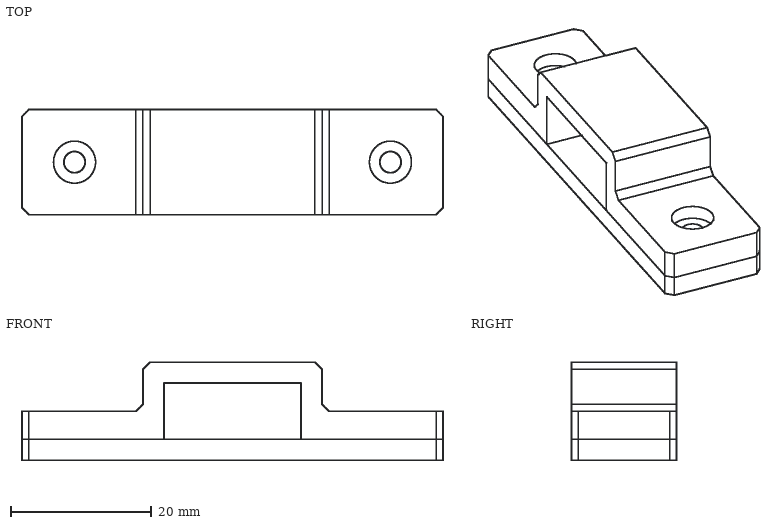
import cadquery as cq

length = 60.0
width = 15.0
corner_chamfer = 1.0

base_thickness = 3.0

flange_thickness = 4.0
channel_width = 19.5
channel_height = 8.0
wall = 3.0
bridge_chamfer = 1.0

hole_spacing = 45.0
hole_diameter = 3.0
counterbore_diameter = 6.0
counterbore_depth = 2.0

flange_top = base_thickness + flange_thickness
bridge_top = base_thickness + channel_height + wall
bridge_width = channel_width + 2 * wall
hole_centers = [(-hole_spacing / 2, 0), (hole_spacing / 2, 0)]


def footprint_block(bottom, height):
    """Rectangular block with its four vertical corner edges chamfered."""
    return (
        cq.Workplane("XY", origin=(0, 0, bottom))
        .rect(length, width)
        .extrude(height)
        .edges("|Z")
        .chamfer(corner_chamfer)
    )


def make_base():
    """Flat plate with a plain through hole near each end."""
    return (
        footprint_block(0, base_thickness)
        .copyWorkplane(cq.Workplane("XY", origin=(0, 0, base_thickness)))
        .pushPoints(hole_centers)
        .hole(hole_diameter)
    )


def make_bracket():
    """Hat-shaped bracket with an open channel and counterbored screw holes."""
    flanges = footprint_block(base_thickness, flange_thickness)

    half_bridge = bridge_width / 2
    half_foot = half_bridge + bridge_chamfer
    half_roof = half_bridge - bridge_chamfer
    bridge = (
        cq.Workplane("XZ")
        .moveTo(-half_foot, base_thickness)
        .lineTo(-half_foot, flange_top)
        .lineTo(-half_bridge, flange_top + bridge_chamfer)
        .lineTo(-half_bridge, bridge_top - bridge_chamfer)
        .lineTo(-half_roof, bridge_top)
        .lineTo(half_roof, bridge_top)
        .lineTo(half_bridge, bridge_top - bridge_chamfer)
        .lineTo(half_bridge, flange_top + bridge_chamfer)
        .lineTo(half_foot, flange_top)
        .lineTo(half_foot, base_thickness)
        .close()
        .extrude(width / 2, both=True)
    )

    channel = (
        cq.Workplane("XY", origin=(0, 0, base_thickness))
        .rect(channel_width, width)
        .extrude(channel_height)
    )

    return (
        flanges.union(bridge)
        .cut(channel)
        .copyWorkplane(cq.Workplane("XY", origin=(0, 0, flange_top)))
        .pushPoints(hole_centers)
        .cboreHole(hole_diameter, counterbore_diameter, counterbore_depth)
    )


base = make_base()
bracket = make_bracket()

result = cq.Compound.makeCompound([base.val(), bracket.val()])